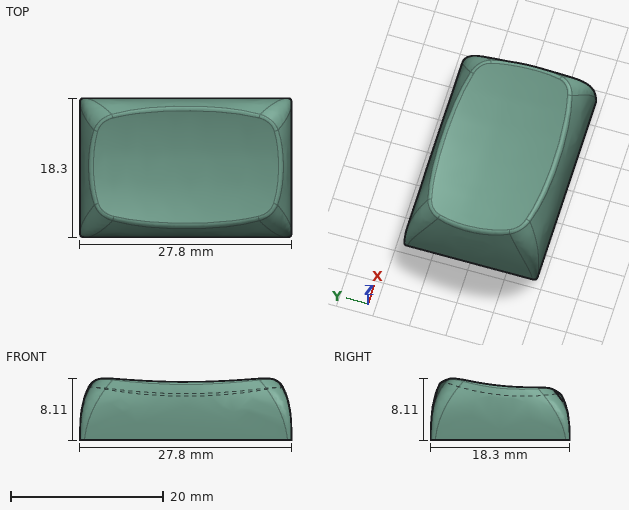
import cadquery as cq
import math

length = 27.8
width = 18.27
height = 8.12

rim_height = 7.45
rim_slope = 0.09
section_count = 7
top_level = 1.2

long_mid_lean = 1.59
long_end_lean = 2.34
short_mid_lean = 1.45
short_end_lean = 2.0

base_seam_inset = 0.55
seam_linear_inset = 0.83
seam_square_inset = 3.0

center_drop = 2.34
dish_bottom = height - center_drop
dish_offset = 3.05
dish_radius_x = 61.75
dish_radius_y = 30.03
dish_half_span = 16.69
dish_depth = 12.51
rim_radius = 0.58


def wall_section(level):
    """Closed outline of bowed sides and rounded corners on a tilted plane."""
    lean = level**3
    seam_inset = base_seam_inset + seam_linear_inset * level + seam_square_inset * level**2
    seam_x = length / 2 - seam_inset
    seam_y = width / 2 - seam_inset
    end_y = width / 2 - long_end_lean * lean
    end_x = length / 2 - short_end_lean * lean
    bow_y = 2 * (long_end_lean - long_mid_lean) * lean
    bow_x = 2 * (short_end_lean - short_mid_lean) * lean

    slope_long = bow_y / seam_x
    slope_short = bow_x / seam_y
    rise = end_y + slope_long * seam_x
    reach = end_x + slope_short * seam_y
    corner_x = (reach - slope_short * rise) / (1 - slope_short * slope_long)
    corner_y = rise - slope_long * corner_x

    def lift(x, y):
        return cq.Vector(x, y, level * (rim_height - rim_slope * y))

    def curve(*points):
        return cq.Edge.makeBezier([lift(x, y) for x, y in points])

    edges = []
    for turn in (1, -1):
        edges += [
            curve((turn * end_x, -turn * seam_y), (turn * (end_x + bow_x), 0), (turn * end_x, turn * seam_y)),
            curve(
                (turn * end_x, turn * seam_y),
                (turn * corner_x, turn * corner_y),
                (turn * seam_x, turn * end_y),
            ),
            curve((turn * seam_x, turn * end_y), (0, turn * (end_y + bow_y)), (-turn * seam_x, turn * end_y)),
            curve(
                (-turn * seam_x, turn * end_y),
                (-turn * corner_x, turn * corner_y),
                (-turn * end_x, turn * seam_y),
            ),
        ]
    return cq.Wire.assembleEdges(edges)


def make_body():
    levels = [top_level * i / (section_count - 1) for i in range(section_count)]
    return cq.Workplane(obj=cq.Solid.makeLoft([wall_section(level) for level in levels]))


def make_dish():
    """Sweep an arc in the YZ plane around a high axis parallel to Y."""
    arc_rise = dish_radius_y - math.sqrt(dish_radius_y**2 - dish_half_span**2)
    near_y = dish_offset - dish_half_span
    far_y = dish_offset + dish_half_span
    end_z = dish_bottom + arc_rise
    axis_z = dish_bottom + dish_radius_x
    profile = (
        cq.Workplane("YZ")
        .moveTo(near_y, end_z)
        .threePointArc((dish_offset, dish_bottom), (far_y, end_z))
        .lineTo(far_y, dish_bottom + dish_depth)
        .lineTo(near_y, dish_bottom + dish_depth)
        .close()
    )
    return profile.revolve(360, (0, axis_z), (1, axis_z))


result = make_body().cut(make_dish())
result = result.faces(">Z").edges().fillet(rim_radius)